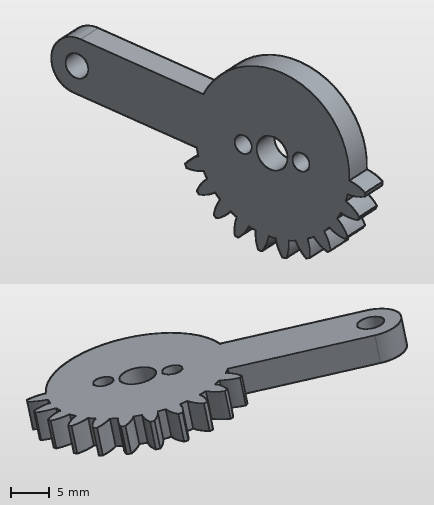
import cadquery as cq
import math

thickness = 4.0
bore_radius = 2.4
side_hole_radius = 1.3
side_hole_offset = 4.5

teeth_per_turn = 24
tooth_pitch = 360 / teeth_per_turn
tip_radius = 14.6
pitch_radius = 13.5
root_radius = 12.05
left_tooth_count = 5
right_tooth_count = 6
root_half_width = 1.05
pitch_half_width = 0.8
tip_half_width = 0.3
tooth_overlap = 0.5

arm_length = 30.75
arm_half_width = 4.0
arm_hole_radius = 1.75
arm_tilt = tooth_pitch / 2


def front_plane():
    return cq.Workplane("XZ", origin=(0, thickness / 2, 0))


def cylinder(x, z, radius):
    return front_plane().center(x, z).circle(radius).extrude(thickness)


def height_on_circle(radius, half_width):
    """Distance below the centre of a circle point at the given half width."""
    return math.sqrt(radius**2 - half_width**2)


def tooth(angle):
    """Curved-flank tooth pointing down, then swung about the gear axis toward +X."""
    base = height_on_circle(root_radius, root_half_width)
    middle = height_on_circle(pitch_radius, pitch_half_width)
    tip = height_on_circle(tip_radius, tip_half_width)
    profile = (
        front_plane()
        .moveTo(-root_half_width, tooth_overlap - base)
        .lineTo(-root_half_width, -base)
        .threePointArc((-pitch_half_width, -middle), (-tip_half_width, -tip))
        .threePointArc((0, -tip_radius), (tip_half_width, -tip))
        .threePointArc((pitch_half_width, -middle), (root_half_width, -base))
        .lineTo(root_half_width, tooth_overlap - base)
        .close()
    )
    return profile.extrude(thickness).rotate((0, 0, 0), (0, -1, 0), angle)


def arm():
    """Straight arm with a round end, running from the gear axis up toward -X."""
    return (
        front_plane()
        .moveTo(0, arm_half_width)
        .lineTo(-arm_length, arm_half_width)
        .threePointArc((-arm_length - arm_half_width, 0), (-arm_length, -arm_half_width))
        .lineTo(0, -arm_half_width)
        .close()
        .extrude(thickness)
        .rotate((0, 0, 0), (0, 1, 0), arm_tilt)
    )


result = cylinder(0, 0, root_radius).union(arm())
for index in range(-left_tooth_count, right_tooth_count):
    result = result.union(tooth((index + 0.5) * tooth_pitch))

arm_end_x = -arm_length * math.cos(math.radians(arm_tilt))
arm_end_z = arm_length * math.sin(math.radians(arm_tilt))
holes = [
    (0, 0, bore_radius),
    (-side_hole_offset, 0, side_hole_radius),
    (side_hole_offset, 0, side_hole_radius),
    (arm_end_x, arm_end_z, arm_hole_radius),
]
for x, z, radius in holes:
    result = result.cut(cylinder(x, z, radius))